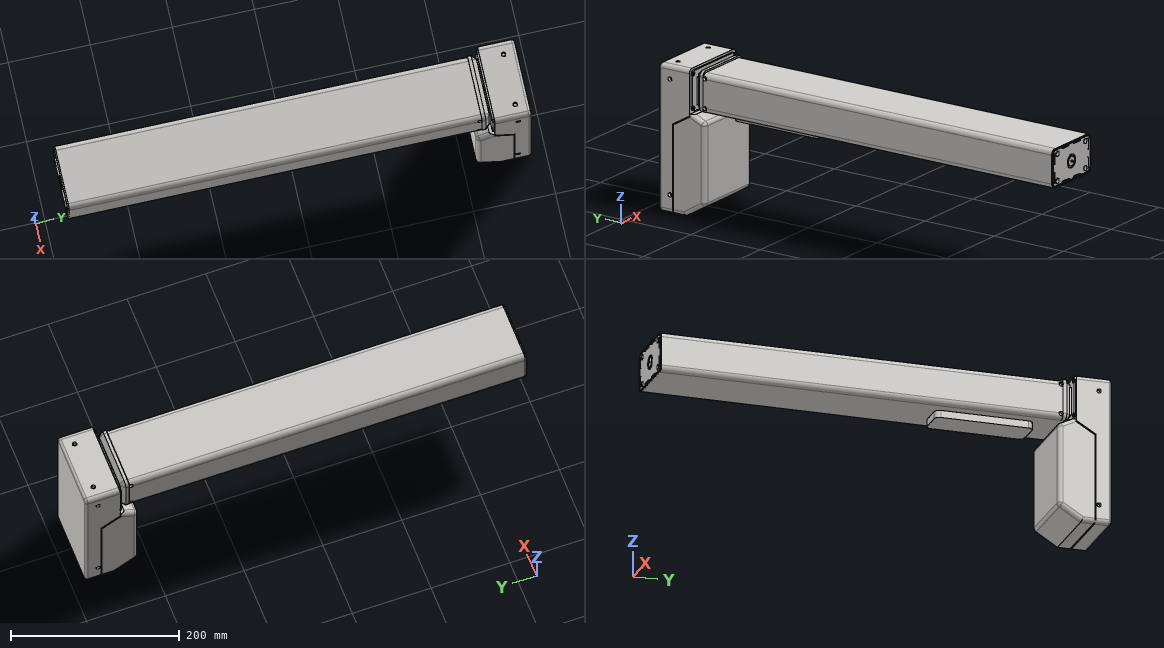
import cadquery as cq

total_length = 565.0
housing_width = 97.0
housing_height = 186.0

upper_depth = 44.5
cover_depth = 67.0
cover_top_z = 129.5
cover_top_depth = 51.0
cover_shoulder_z = 121.5
cover_toe_z = 18.0
cover_toe_depth = 38.0
outer_radius = 5.5
back_radius = 3.5

seam_depth = 0.5
seam_width = 1.0
seam_y = -21.0
seam_bend_z = 112.5
seam_top_z = 126.5

screw_diameter = 5.0
screw_depth = 4.5
housing_screw_y = -16.5
side_screw_heights = (23.0, 168.5)
top_screw_x = 31.5

plate_width = 91.5
plate_bottom_z = 132.0
plate_top_z = 183.0
plate_thickness = 2.0
plate_screw_x = 43.0
plate_screw_heights = (136.0, 179.0)
plate_screw_diameter = 4.5
plate_screw_depth = 1.5

arm_width = 81.0
arm_height = 50.0
arm_center_z = 156.0
arm_radius = 7.0
pin_length = 1.5
pin_diameter = 2.0
arm_end_y = pin_length - total_length

neck_width = 72.0
neck_height = 35.0
collar_width = 82.0
collar_back_y = -48.5
collar_front_y = -59.0
collar_top_z = 183.0
collar_chamfer = 5.5
collar_screw_y = -61.0
collar_screw_spacing = 37.5

wall_thickness = 1.0
cap_gap = 1.0
cap_gap_depth = 1.5
cap_screw_spacing_x = 58.0
cap_screw_spacing_z = 34.0
cap_slot_length = 13.5
cap_slot_width = 0.5
cap_slot_pitch = 24.0
cap_slot_inset_x = 5.0
cap_slot_inset_z = 4.0
cap_screw_diameter = 6.0
lock_diameter = 17.0
lock_core_diameter = 12.5

pad_width = 39.5
pad_bottom_z = 122.0
pad_back_y = -89.0
pad_front_y = -211.5
pad_radius = 6.0


def box_between(width, y_back, y_front, z_bottom, z_top):
    """Box centred on x = 0."""
    size_y = y_back - y_front
    center = (0, (y_back + y_front) / 2, (z_bottom + z_top) / 2)
    return cq.Workplane("XY").box(width, size_y, z_top - z_bottom).translate(center)


def facing_front(y):
    """Plane at depth y whose normal points to -Y, with its origin on the arm axis."""
    return cq.Workplane("XZ", origin=(0, y, arm_center_z))


def make_housing():
    """Slim rounded box on top of a deeper cover with sloped ends."""
    box = box_between(housing_width, 0, -upper_depth, cover_shoulder_z, housing_height)
    box = box.faces(">Z").edges("|Y").fillet(outer_radius)
    cover_outline = [
        (0, 0),
        (-cover_toe_depth, 0),
        (-cover_depth, cover_toe_z),
        (-cover_depth, cover_shoulder_z),
        (-cover_top_depth, cover_top_z),
        (0, cover_top_z),
    ]
    cover = cq.Workplane("YZ").polyline(cover_outline).close().extrude(housing_width / 2, both=True)
    cover = cover.faces("<Y").edges("|X").fillet(outer_radius)
    cover = cover.faces("<X or >X").edges("not (>Y or >Z)").fillet(outer_radius)
    return box.union(cover).faces(">Y").edges().fillet(back_radius)


def make_seam():
    """Shallow grooves along the edge of the cover, on both flanks and the underside."""
    half_width = seam_width / 2
    path = [(seam_y, 0), (seam_y, seam_bend_z), (-upper_depth, seam_top_z)]
    strip = cq.Workplane("YZ").polyline(path).offset2D(half_width).extrude(housing_width / 2, both=True)
    core_width = housing_width - 2 * seam_depth
    core = box_between(core_width, 0, -cover_depth, seam_depth, housing_height)
    return strip.cut(core)


def make_housing_screw_holes():
    side = (
        cq.Workplane("YZ")
        .pushPoints([(housing_screw_y, z) for z in side_screw_heights])
        .circle(screw_diameter / 2)
        .extrude(housing_width / 2, both=True)
        .cut(box_between(housing_width - 2 * screw_depth, 0, -cover_depth, 0, housing_height))
    )
    top = (
        cq.Workplane("XY", origin=(0, housing_screw_y, housing_height - screw_depth))
        .pushPoints([(-top_screw_x, 0), (top_screw_x, 0)])
        .circle(screw_diameter / 2)
        .extrude(screw_depth)
    )
    return side.union(top)


def make_plate():
    front_y = -upper_depth - plate_thickness
    plate = box_between(plate_width, -upper_depth, front_y, plate_bottom_z, plate_top_z)
    plate = plate.edges("|Y").fillet(outer_radius)
    points = [(x, z - arm_center_z) for x in (-plate_screw_x, plate_screw_x) for z in plate_screw_heights]
    screws = (
        facing_front(front_y)
        .pushPoints(points)
        .circle(plate_screw_diameter / 2)
        .extrude(-plate_screw_depth)
    )
    return plate.cut(screws)


def make_arm():
    neck = facing_front(-upper_depth).rect(neck_width, neck_height).extrude(upper_depth - collar_front_y)
    arm_bottom_z = arm_center_z - arm_height / 2
    collar = box_between(collar_width, collar_back_y, collar_front_y, arm_bottom_z, collar_top_z)
    collar = collar.edges("|Y").fillet(arm_radius).faces(">Y").edges().chamfer(collar_chamfer)
    bar = facing_front(collar_front_y).rect(arm_width, arm_height).extrude(collar_front_y - arm_end_y)
    bar = bar.edges("|Y").fillet(arm_radius)
    screws = (
        cq.Workplane("YZ", origin=(0, collar_screw_y, arm_center_z))
        .rarray(5.5, collar_screw_spacing, 1, 2)
        .circle(screw_diameter / 2)
        .extrude(arm_width / 2, both=True)
        .cut(box_between(arm_width - 2 * screw_depth, 0, -total_length, 0, housing_height))
    )
    return neck.union(collar).union(bar).cut(screws)


def rounded_block(inset):
    """Block behind the arm's end face, smaller than the arm by inset on every side."""
    block = facing_front(arm_end_y).rect(arm_width - 2 * inset, arm_height - 2 * inset)
    return block.extrude(-cap_gap_depth).edges("|Y").fillet(arm_radius - inset)


def make_end_cap_cuts():
    gap = rounded_block(wall_thickness).cut(rounded_block(wall_thickness + cap_gap))
    screws = (
        facing_front(arm_end_y)
        .rarray(cap_screw_spacing_x, cap_screw_spacing_z, 2, 2)
        .circle(cap_screw_diameter / 2)
        .extrude(-screw_depth)
    )
    flat_slots = (
        facing_front(arm_end_y)
        .rarray(cap_slot_pitch, arm_height - 2 * cap_slot_inset_z, 2, 2)
        .rect(cap_slot_length, cap_slot_width)
        .extrude(-cap_gap_depth)
    )
    upright_slots = (
        facing_front(arm_end_y)
        .rarray(arm_width - 2 * cap_slot_inset_x, cap_slot_pitch, 2, 2)
        .rect(cap_slot_width, cap_slot_length)
        .extrude(-cap_gap_depth)
    )
    lock_ring = (
        facing_front(arm_end_y)
        .circle(lock_diameter / 2)
        .circle(lock_core_diameter / 2)
        .extrude(-cap_gap_depth)
    )
    return gap.union(screws).union(flat_slots).union(upright_slots).union(lock_ring)


def make_lock_pin():
    return facing_front(arm_end_y).circle(pin_diameter / 2).extrude(pin_length)


def make_pad():
    pad = box_between(pad_width, pad_back_y, pad_front_y, pad_bottom_z, arm_center_z)
    return pad.edges("|Z").fillet(pad_radius)


housing = make_housing().cut(make_seam()).cut(make_housing_screw_holes())
arm = make_arm().cut(make_end_cap_cuts()).union(make_lock_pin())
result = housing.union(make_plate()).union(arm).union(make_pad())